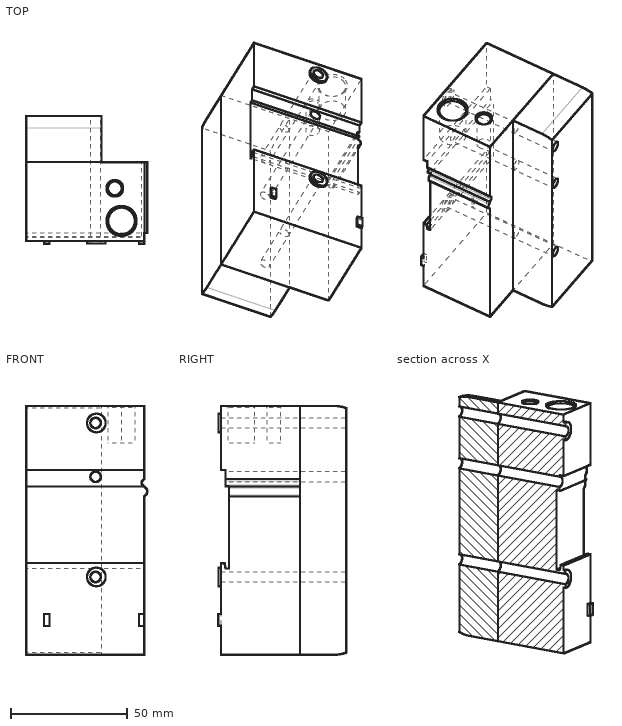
import cadquery as cq
import math


height = 107.3
base_width = 51.0
base_depth = 34.0

step_depth = 1.9
step_top = 79.6
recess_depth = 3.4
recess_top = 72.6
lip_top = 39.5
groove_bottom = 37.2
lip_thickness = 1.6
lip_root_thickness = 2.0

cover_width = 32.5
total_depth = 54.0
rounding_length = 5.2
rounding_drop = 1.0

hole_diameter = 4.4
hole_x = 29.9
upper_hole_z = 99.9
step_hole_z = 76.7
lower_hole_z = 33.6
boss_diameter = 8.0
boss_height = 1.1
boss_x = 30.3

foot_width = 2.4
foot_length = 5.2
foot_height = 1.2
foot_bottom = 12.6
left_foot_x = 7.7
right_foot_x = base_width - foot_width

entry_depth = 16.1
large_entry_diameter = 11.5
large_entry_chamfer = 0.8
large_entry_x = 41.1
large_entry_y = 8.7
small_entry_diameter = 5.9
small_entry_chamfer = 0.6
small_entry_x = 38.2
small_entry_y = 22.7

rib_tip_diameter = 4.0
rib_projection = 1.3
rib_z = 70.4
keyway_tip_diameter = 2.5
keyway_depth = 1.2
keyway_z = 74.1


def y_cylinder(diameter, x, z, y_start, y_end):
    """Cylinder along Y between two depths."""
    return (
        cq.Workplane("XZ", origin=(x, y_start, z))
        .circle(diameter / 2)
        .extrude(y_start - y_end)
    )


def cut_through_holes(body):
    """Cut the screw holes that run from the bosses to the back of the cover."""
    for z in (upper_hole_z, step_hole_z, lower_hole_z):
        body = body.cut(y_cylinder(hole_diameter, hole_x, z, -boss_height, total_depth))
    return body


def make_block():
    """Base block with the stepped rail recess and its hooked lower lip."""
    return (
        cq.Workplane("YZ")
        .polyline([
            (0, 0),
            (0, lip_top),
            (lip_thickness, lip_top),
            (lip_root_thickness, groove_bottom),
            (recess_depth, groove_bottom),
            (recess_depth, recess_top),
            (step_depth, recess_top),
            (step_depth, step_top),
            (0, step_top),
            (0, height),
            (base_depth, height),
            (base_depth, 0),
        ])
        .close()
        .extrude(base_width)
    )


def cut_entry(body, diameter, chamfer, x, y):
    """Cut a blind cable entry with a chamfered mouth into the top face."""
    radius = diameter / 2
    bore = (
        cq.Workplane("XZ")
        .polyline([
            (0, height - entry_depth),
            (radius, height - entry_depth),
            (radius, height - chamfer),
            (radius + chamfer, height),
            (0, height),
        ])
        .close()
        .revolve(360, (0, 0, 0), (0, 1, 0))
    )
    return body.cut(bore.translate((x, y, 0)))


def make_key(tip_diameter, reach, z, y_start):
    """Prism on the +X side with a round tip between two tangent 45-degree flanks.

    A positive reach points out of the side, a negative one into it.
    """
    direction = math.copysign(1, reach)
    tip_radius = tip_diameter / 2
    tip_x = base_width + reach
    tangent_offset = tip_radius * math.sqrt(0.5)
    tangent_x = tip_x - direction * (tip_radius - tangent_offset)
    foot_offset = tangent_offset + abs(tangent_x - base_width)
    return (
        cq.Workplane("XZ", origin=(0, y_start, z))
        .moveTo(base_width, -foot_offset)
        .lineTo(tangent_x, -tangent_offset)
        .threePointArc((tip_x, 0), (tangent_x, tangent_offset))
        .lineTo(base_width, foot_offset)
        .close()
        .extrude(y_start - base_depth)
    )


def make_base():
    base = make_block()

    base = base.union(make_key(rib_tip_diameter, rib_projection, rib_z, recess_depth))
    base = base.cut(make_key(keyway_tip_diameter, -keyway_depth, keyway_z, 0))

    for z in (upper_hole_z, lower_hole_z):
        base = base.union(y_cylinder(boss_diameter, boss_x, z, -boss_height, 0))

    for x in (left_foot_x, right_foot_x):
        foot = cq.Workplane("XY").box(foot_width, foot_height, foot_length, centered=False)
        base = base.union(foot.translate((x, -foot_height, foot_bottom)))

    base = cut_entry(base, large_entry_diameter, large_entry_chamfer, large_entry_x, large_entry_y)
    base = cut_entry(base, small_entry_diameter, small_entry_chamfer, small_entry_x, small_entry_y)

    return cut_through_holes(base)


def make_cover():
    """Narrower cover whose top and bottom faces curve in towards the back."""
    rounding_start = total_depth - rounding_length
    rounding_radius = (rounding_length**2 + rounding_drop**2) / (2 * rounding_drop)
    cover = (
        cq.Workplane("YZ")
        .moveTo(rounding_start, 0)
        .lineTo(base_depth, 0)
        .lineTo(base_depth, height)
        .lineTo(rounding_start, height)
        .radiusArc((total_depth, height - rounding_drop), rounding_radius)
        .lineTo(total_depth, rounding_drop)
        .radiusArc((rounding_start, 0), rounding_radius)
        .close()
        .extrude(cover_width)
    )
    return cut_through_holes(cover)


base = make_base()
cover = make_cover()
result = cq.Compound.makeCompound([base.val(), cover.val()])